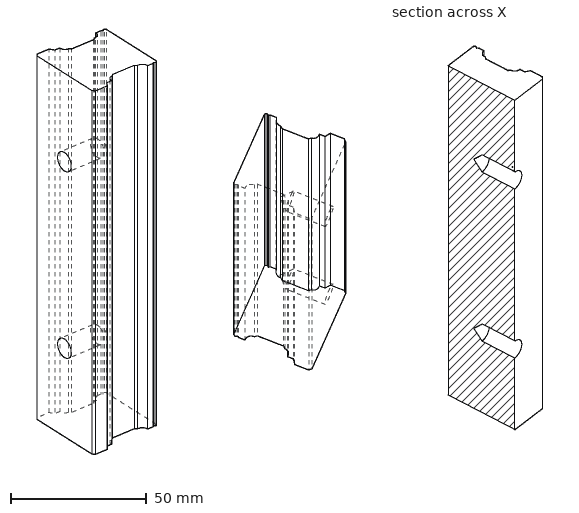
import cadquery as cq

length = 156.0
height = 31.8
half_base = 17.0
half_head = 15.1
half_neck = 11.9

base_flank_height = 6.5
base_slope_top = 7.8
lower_groove_start = 10.1
lower_groove_floor = 12.3
neck_bottom = 13.1
neck_top = 23.5
upper_groove_floor = 24.5
upper_groove_end = 27.1
notch_center_height = 30.3

base_chamfer = 1.0
head_chamfer = 0.5
notch_width = 1.0
notch_depth = 0.5
groove_lip = 0.5
half_groove_floor = 12.6
groove_bulge = 0.7071

hole_diameter = 8.0
hole_depth = 15.6
hole_tip_depth = 3.9
hole_spacing = 80.0


def groove_midpoint(center_y, edge_y):
    """Middle of a quarter-round groove from its floor at center_y out to edge_y."""
    center_x = half_head - groove_lip
    radius_x = center_x - half_groove_floor
    return (
        center_x - groove_bulge * radius_x,
        center_y + groove_bulge * (edge_y - center_y),
    )


def make_rail():
    """Half section to the +X side, mirrored across the YZ plane and extruded."""
    half_section = (
        cq.Workplane("XY")
        .moveTo(0, 0)
        .lineTo(half_base - base_chamfer, 0)
        .lineTo(half_base, base_chamfer)
        .lineTo(half_base, base_flank_height)
        .lineTo(half_head, base_slope_top)
        .lineTo(half_head, lower_groove_start)
        .lineTo(half_head - groove_lip, lower_groove_start)
        .threePointArc(
            groove_midpoint(lower_groove_floor, lower_groove_start),
            (half_groove_floor, lower_groove_floor),
        )
        .lineTo(half_neck, neck_bottom)
        .lineTo(half_neck, neck_top)
        .lineTo(half_groove_floor, upper_groove_floor)
        .threePointArc(
            groove_midpoint(upper_groove_floor, upper_groove_end),
            (half_head - groove_lip, upper_groove_end),
        )
        .lineTo(half_head, upper_groove_end)
        .lineTo(half_head, notch_center_height - notch_width / 2)
        .lineTo(half_head - notch_depth, notch_center_height)
        .lineTo(half_head, notch_center_height + notch_width / 2)
        .lineTo(half_head, height - head_chamfer)
        .lineTo(half_head - head_chamfer, height)
        .lineTo(0, height)
        .close()
        .extrude(length)
    )
    return half_section.union(half_section.mirror("YZ")).translate((0, -height / 2, -length / 2))


def make_hole(z):
    """Blind hole with a conical bottom, drilled from the -Y face."""
    radius = hole_diameter / 2
    return (
        cq.Workplane("XY")
        .moveTo(0, 0)
        .lineTo(radius, 0)
        .lineTo(radius, hole_depth)
        .lineTo(0, hole_depth + hole_tip_depth)
        .close()
        .revolve(360, (0, 0), (0, 1))
        .translate((0, -height / 2, z))
    )


result = make_rail()
for hole_z in (-hole_spacing / 2, hole_spacing / 2):
    result = result.cut(make_hole(hole_z))